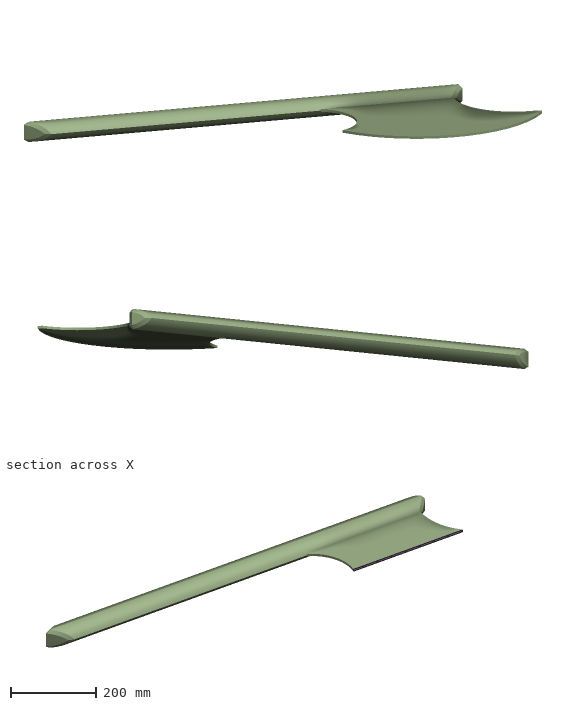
import cadquery as cq

handle_width = 70.0
handle_height = 48.0
handle_top = 1081.0
half_width = handle_width / 2
half_height = handle_height / 2
flank_x = half_width / 2
flank_z = 18.0

butt_length = 50.0
butt_bevel = 6.0
crown_length = 35.0
crown_bevel = 7.0
crown_flat_width = 12.0

blade_thickness = 6.0
root_x = 33.0
root_top = 1045.0
root_bottom = 716.0
upper_horn = (204.0, 1208.0)
horn_shoulder = (197.0, 1200.0)
upper_bite_middle = (144.0, 1074.0)
lower_bite_middle = (127.0, 773.0)
lower_horn = (220.0, 713.0)
edge_middle = (337.0, 951.0)


def make_handle():
    bar = (
        cq.Workplane("XZ")
        .moveTo(-half_width, 0)
        .threePointArc((-flank_x, flank_z), (0, half_height))
        .threePointArc((flank_x, flank_z), (half_width, 0))
        .threePointArc((flank_x, -flank_z), (0, -half_height))
        .threePointArc((-flank_x, -flank_z), (-half_width, 0))
        .close()
        .extrude(-handle_top)
    )
    half_flat = crown_flat_width / 2
    crown_slope = crown_length / half_width
    flat_y = handle_top - crown_slope * half_flat
    wedge_outline = (
        cq.Workplane("XY")
        .workplane(offset=-half_height)
        .polyline([
            (0, 0),
            (half_width, butt_length),
            (half_width, handle_top - crown_length),
            (half_flat, flat_y),
            (-half_flat, flat_y),
            (-half_width, handle_top - crown_length),
            (-half_width, butt_length),
        ])
        .close()
        .extrude(handle_height)
    )
    return bar.intersect(wedge_outline)


def end_rim(handle, low_y, high_y):
    """Select the curved rim edges of the handle end between two Y levels."""
    box = cq.selectors.BoxSelector(
        (-half_width, low_y, -handle_height),
        (half_width, high_y, handle_height),
    )
    return handle.edges(box).edges("not(#Y or |Z or |Y)")


def make_blade():
    return (
        cq.Workplane("XY")
        .workplane(offset=-blade_thickness / 2)
        .moveTo(0, root_bottom)
        .lineTo(root_x, root_bottom)
        .threePointArc(lower_bite_middle, lower_horn)
        .threePointArc(edge_middle, upper_horn)
        .lineTo(*horn_shoulder)
        .threePointArc(upper_bite_middle, (root_x, root_top))
        .lineTo(0, root_top)
        .close()
        .extrude(blade_thickness)
    )


handle = make_handle()
handle = end_rim(handle, -12, butt_length).chamfer(butt_bevel)
handle = end_rim(handle, handle_top - crown_length, handle_top).chamfer(crown_bevel)
result = handle.union(make_blade())